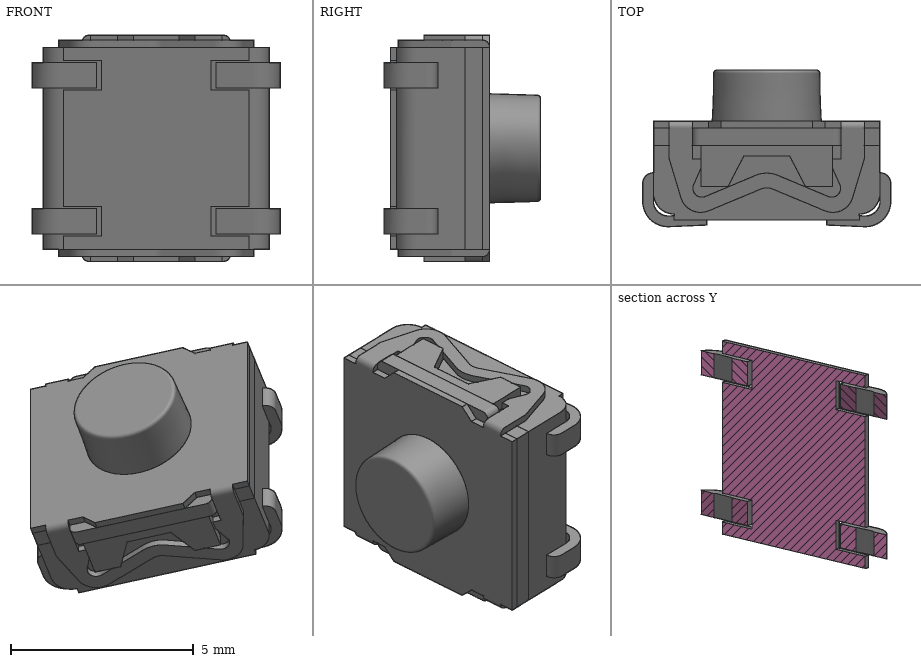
import cadquery as cq
import math


BODY_HALF_X = 3.1
BODY_HALF_Z = 2.77
BASE_Y = 0.185
STEP_Y = 0.35
HOUSING_TOP = 2.225
SEAL_TOP = 2.7
SHEET = 0.2
COVER_TOP = SEAL_TOP + SHEET
BUTTON_TOP = 4.3
LATCH_Z = 3.1

CORNER_RADIUS = 0.565
PEDESTAL_HALF_X = BODY_HALF_X - CORNER_RADIUS
LATCH_HALF_X = 1.795
LATCH_BOTTOM = 1.1
NOTCH_TOP = 1.945
NOTCH_TOP_HALF_X = 0.625
NOTCH_BOTTOM_HALF_X = 1.06

LIP_HALF_X = 2.03
LIP_RADIUS = 0.2
BUTTON_BASE_RADIUS = 1.495
BUTTON_TOP_RADIUS = 1.455
BUTTON_EDGE_RADIUS = 0.1

BEND_RADIUS = SHEET
ARM_OUTER_X = 2.67
ARM_KINK_Y = 1.86
ARM_FOOT = (2.17, 0.2)
ARM_PEAK_Y = 1.1
ARM_FOOT_RADIUS = 0.565
ARM_PEAK_RADIUS = 0.41
WINDOW_THROAT_X = 1.8
WINDOW_FLARE_Y = 1.605
WINDOW_FOOT = (2.25, 0.59)
WINDOW_PEAK_Y = 1.54
WINDOW_FOOT_RADIUS = 0.245
WINDOW_PEAK_RADIUS = 0.79
TONGUE_BASE_HALF_X = 1.6
TONGUE_TIP_HALF_X = 1.26

LEAD_OUTER_X = 3.4
LEAD_THICKNESS = LEAD_OUTER_X - BODY_HALF_X
LEAD_WIDTH = 0.7
LEAD_CENTER_Z = 2.0
LEAD_TOP = 1.48
LEAD_BEND_RADIUS = 0.7
LEAD_TIP_X = 1.64
FOOT_TILT = math.radians(2.5)
RECESS_INNER_X = 1.495
RECESS_WIDTH = 0.815


def slab(outline, z_start, z_end):
    """Extrude a closed XY outline between two Z levels."""
    return outline.extrude(z_end - z_start).translate((0, 0, z_start))


def box(x_half, y_low, y_high, z_low, z_high):
    """Block that is symmetric about x = 0."""
    size = (2 * x_half, y_high - y_low, z_high - z_low)
    return cq.Workplane("XY").box(*size, centered=(True, False, False)).translate((0, y_low, z_low))


def mirrored_polygon(right_points):
    """Closed outline from its right half, listed top to bottom; points on x = 0 are not doubled."""
    left_points = [(-x, y) for x, y in reversed(right_points) if x > 0]
    return cq.Workplane("XY").polyline(right_points + left_points).close()


def both_ends(feature):
    """The feature at the +Z end together with its mirror image at the -Z end."""
    return [feature, feature.mirror("XY")]


def round_corners(block, corner, radius):
    """Round the two mirrored Z edges (or the single one at x = 0) that pass through a corner."""
    x, y = corner
    z = block.val().Center().z
    for sign in (1, -1) if x > 0 else (1,):
        block = block.edges(cq.selectors.NearestToPointSelector((sign * x, y, z))).fillet(radius)
    return block


def make_latch():
    """Hook block with a tapered notch in its lower edge."""
    outline = mirrored_polygon([
        (LATCH_HALF_X, HOUSING_TOP),
        (LATCH_HALF_X, LATCH_BOTTOM),
        (NOTCH_BOTTOM_HALF_X, LATCH_BOTTOM),
        (NOTCH_TOP_HALF_X, NOTCH_TOP),
    ])
    return slab(outline, BODY_HALF_Z, LATCH_Z)


def make_housing():
    arc_inset = CORNER_RADIUS * (1 - math.sqrt(0.5))
    arc_start_y = STEP_Y + CORNER_RADIUS
    arc_middle = (BODY_HALF_X - arc_inset, STEP_Y + arc_inset)
    outline = (
        cq.Workplane("XY")
        .moveTo(-BODY_HALF_X, HOUSING_TOP)
        .lineTo(BODY_HALF_X, HOUSING_TOP)
        .lineTo(BODY_HALF_X, arc_start_y)
        .threePointArc(arc_middle, (PEDESTAL_HALF_X, STEP_Y))
        .lineTo(PEDESTAL_HALF_X, BASE_Y)
        .lineTo(-PEDESTAL_HALF_X, BASE_Y)
        .lineTo(-PEDESTAL_HALF_X, STEP_Y)
        .threePointArc((-arc_middle[0], arc_middle[1]), (-BODY_HALF_X, arc_start_y))
        .close()
    )
    housing = slab(outline, -BODY_HALF_Z, BODY_HALF_Z)
    for latch in both_ends(make_latch()):
        housing = housing.union(latch)

    recess_size = (PEDESTAL_HALF_X - RECESS_INNER_X, STEP_Y - BASE_Y, RECESS_WIDTH)
    recess_x = (PEDESTAL_HALF_X + RECESS_INNER_X) / 2
    recess_y = (STEP_Y + BASE_Y) / 2
    for side_x in (1, -1):
        for side_z in (1, -1):
            place = (side_x * recess_x, recess_y, side_z * LEAD_CENTER_Z)
            housing = housing.cut(cq.Workplane("XY").box(*recess_size).translate(place))
    return housing


def make_seal():
    """Sealing sheet with a lip at each Z end and the button rising from its middle."""
    seal = box(BODY_HALF_X, HOUSING_TOP, SEAL_TOP, -BODY_HALF_Z, BODY_HALF_Z)
    lips = box(LIP_HALF_X, HOUSING_TOP, SEAL_TOP, -LATCH_Z, LATCH_Z).edges("|Y").fillet(LIP_RADIUS)
    button = (
        cq.Workplane("YZ")
        .moveTo(SEAL_TOP, 0)
        .lineTo(SEAL_TOP, BUTTON_BASE_RADIUS)
        .lineTo(COVER_TOP, BUTTON_BASE_RADIUS)
        .lineTo(BUTTON_TOP, BUTTON_TOP_RADIUS)
        .lineTo(BUTTON_TOP, 0)
        .close()
        .revolve(360, (0, 0, 0), (1, 0, 0))
        .faces(">Y").edges().fillet(BUTTON_EDGE_RADIUS)
    )
    return seal.union(lips).union(button)


def make_clip_arm():
    """Bent arm pair joined by a chevron cross bar, with a window that snaps over the latch."""
    arm_end = BODY_HALF_Z + SHEET
    arm = slab(mirrored_polygon([
        (ARM_OUTER_X, COVER_TOP),
        (ARM_OUTER_X, ARM_KINK_Y),
        ARM_FOOT,
        (0, ARM_PEAK_Y),
    ]), BODY_HALF_Z, arm_end)
    arm = round_corners(arm, ARM_FOOT, ARM_FOOT_RADIUS)
    arm = round_corners(arm, (0, ARM_PEAK_Y), ARM_PEAK_RADIUS)

    window = slab(mirrored_polygon([
        (LIP_HALF_X, COVER_TOP),
        (LIP_HALF_X, ARM_KINK_Y),
        (WINDOW_THROAT_X, ARM_KINK_Y),
        (WINDOW_THROAT_X, WINDOW_FLARE_Y),
        WINDOW_FOOT,
        (0, WINDOW_PEAK_Y),
    ]), BODY_HALF_Z, arm_end)
    window = round_corners(window, WINDOW_FOOT, WINDOW_FOOT_RADIUS)
    window = round_corners(window, (0, WINDOW_PEAK_Y), WINDOW_PEAK_RADIUS)
    return arm.cut(window)


def make_tongue():
    """Flat tapered tongue of the cover sheet that covers the lip of the seal."""
    outline = (
        cq.Workplane("XZ", origin=(0, COVER_TOP, 0))
        .moveTo(-TONGUE_BASE_HALF_X, BODY_HALF_Z)
        .lineTo(TONGUE_BASE_HALF_X, BODY_HALF_Z)
        .lineTo(TONGUE_TIP_HALF_X, LATCH_Z)
        .lineTo(-TONGUE_TIP_HALF_X, LATCH_Z)
        .close()
    )
    return outline.extrude(SHEET)


def make_cover():
    cover = box(BODY_HALF_X, SEAL_TOP, COVER_TOP, -BODY_HALF_Z, BODY_HALF_Z)
    button_hole = cq.Workplane("XZ", origin=(0, COVER_TOP, 0)).circle(BUTTON_BASE_RADIUS).extrude(SHEET)
    cover = cover.cut(button_hole)
    for arm in both_ends(make_clip_arm()):
        cover = cover.union(arm)
    cover = cover.edges("|X").edges(">Y").edges(">Z or <Z").fillet(BEND_RADIUS)
    for tongue in both_ends(make_tongue()):
        cover = cover.union(tongue)
    return cover


def make_lead(side_x, side_z):
    """J-shaped lead: rounded top against the housing wall, lower bend and tilted foot."""
    inner_radius = LEAD_BEND_RADIUS - LEAD_THICKNESS
    center_x = LEAD_OUTER_X - LEAD_BEND_RADIUS
    center_y = LEAD_BEND_RADIUS

    def bend_point(radius, angle):
        return (center_x + radius * math.cos(angle), center_y - radius * math.sin(angle))

    def tip_point(radius):
        start_x, start_y = bend_point(radius, bend_angle)
        return (LEAD_TIP_X, start_y + (start_x - LEAD_TIP_X) * math.tan(FOOT_TILT))

    bend_angle = math.pi / 2 + FOOT_TILT
    top_inset = LEAD_THICKNESS * (1 - math.sqrt(0.5))
    outline = (
        cq.Workplane("XY")
        .moveTo(BODY_HALF_X, LEAD_TOP)
        .threePointArc(
            (LEAD_OUTER_X - top_inset, LEAD_TOP - top_inset),
            (LEAD_OUTER_X, LEAD_TOP - LEAD_THICKNESS),
        )
        .lineTo(*bend_point(LEAD_BEND_RADIUS, 0))
        .threePointArc(
            bend_point(LEAD_BEND_RADIUS, bend_angle / 2),
            bend_point(LEAD_BEND_RADIUS, bend_angle),
        )
        .lineTo(*tip_point(LEAD_BEND_RADIUS))
        .lineTo(*tip_point(inner_radius))
        .lineTo(*bend_point(inner_radius, bend_angle))
        .threePointArc(bend_point(inner_radius, bend_angle / 2), bend_point(inner_radius, 0))
        .close()
    )
    z_middle = side_z * LEAD_CENTER_Z
    lead = slab(outline, z_middle - LEAD_WIDTH / 2, z_middle + LEAD_WIDTH / 2)
    return lead if side_x > 0 else lead.mirror("YZ")


housing = make_housing()
seal = make_seal()
cover = make_cover()
leads = [make_lead(side_x, side_z) for side_x in (1, -1) for side_z in (1, -1)]

result = cq.Compound.makeCompound(
    [housing.val(), seal.val(), cover.val(), *[lead.val() for lead in leads]]
)